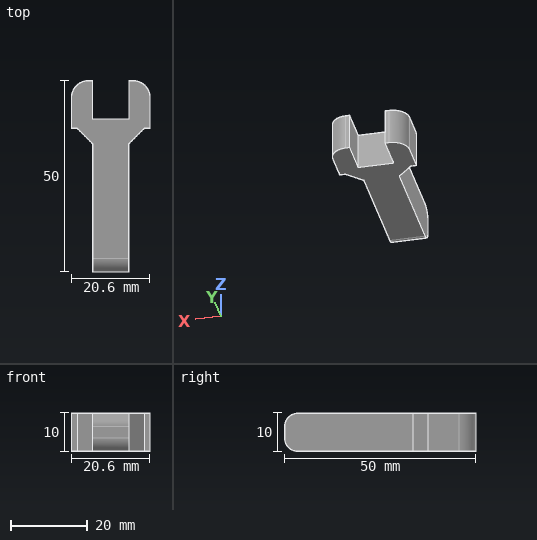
import cadquery as cq

length = 50.0
thickness = 10.0
head_width = 20.6
handle_width = 9.5
slot_width = 9.5
slot_depth = 10.0
head_side_length = 12.5
shoulder_chamfer = 4.0
jaw_radius = 4.5
handle_end_radius = 3.5

head_back_y = length - head_side_length
slot_floor_y = length - slot_depth


def make_head():
    """Block with rounded jaw tips, tapering at 45 degrees into the handle."""
    block = (
        cq.Workplane("XY")
        .center(0, head_back_y + head_side_length / 2)
        .rect(head_width, head_side_length)
        .extrude(thickness)
        .edges("|Z and >Y")
        .fillet(jaw_radius)
    )
    neck_half_width = handle_width / 2
    shoulder_half_width = neck_half_width + shoulder_chamfer
    neck_y = head_back_y - shoulder_chamfer
    shoulders = (
        cq.Workplane("XY")
        .polyline([
            (-shoulder_half_width, head_back_y),
            (-neck_half_width, neck_y),
            (neck_half_width, neck_y),
            (shoulder_half_width, head_back_y),
        ])
        .close()
        .extrude(thickness)
    )
    return block.union(shoulders)


def make_handle():
    """Straight bar whose free end is rounded on its top and bottom edges."""
    return (
        cq.Workplane("XY")
        .center(0, slot_floor_y / 2)
        .rect(handle_width, slot_floor_y)
        .extrude(thickness)
        .edges("|X and <Y")
        .fillet(handle_end_radius)
    )


def make_slot():
    """Through slot between the jaws, open at the jaw tips."""
    return (
        cq.Workplane("XY")
        .center(0, slot_floor_y + slot_depth / 2)
        .rect(slot_width, slot_depth)
        .extrude(thickness)
    )


result = make_head().union(make_handle()).cut(make_slot())